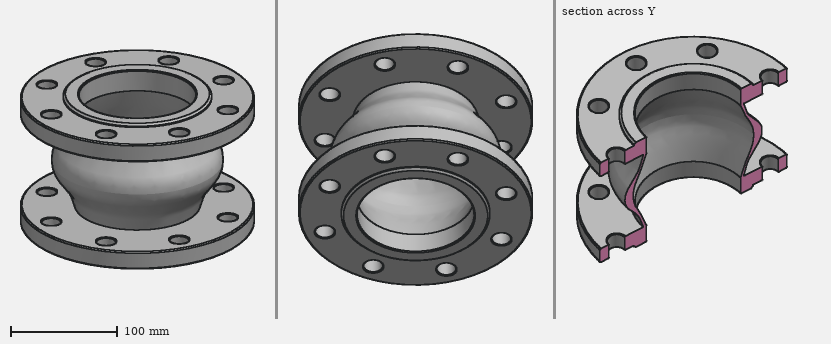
import cadquery as cq

flange_diameter = 220.0
overall_height = 135.0
bore_diameter = 110.0
bore_chamfer = 1.0

flange_thickness = 18.0
flange_chamfer = 1.3
raised_face_diameter = 140.0
raised_face_height = 3.3
raised_face_chamfer = 2.2

bolt_count = 8
bolt_circle_diameter = 180.0
bolt_hole_diameter = 18.0
bolt_hole_chamfer = 0.9

crest_outer_radius = 80.7
crest_inner_radius = 70.5
shoulder_outer_radius = 75.2
shoulder_inner_radius = 67.5
waist_outer_radius = 65.1
waist_inner_radius = 61.2
neck_outer_radius = 59.2
shoulder_height = 15.2
waist_height = 29.3

half_height = overall_height / 2
flange_top = half_height - raised_face_height
flange_bottom = flange_top - flange_thickness


def bellows_body(crest_radius, shoulder_radius, waist_radius, neck_radius):
    """Solid of revolution with a rounded crest that flows into concave flanks."""
    flank = [
        (crest_radius, 0),
        (shoulder_radius, shoulder_height),
        (waist_radius, waist_height),
        (neck_radius, flange_bottom),
    ]
    crest_direction = (0, 1)
    neck_direction = (neck_radius - waist_radius, flange_bottom - waist_height)

    upper_half = (
        cq.Workplane("XZ")
        .moveTo(0, 0)
        .lineTo(crest_radius, 0)
        .spline(flank[1:], tangents=[crest_direction, neck_direction], includeCurrent=True)
        .lineTo(0, flange_bottom)
        .close()
        .revolve(360, (0, 0, 0), (0, 1, 0))
    )
    return upper_half.union(upper_half.mirror("XY"))


def upper_flange():
    """Flange with bolt holes and a chamfered raised face, before boring."""
    disc = (
        cq.Workplane("XY")
        .workplane(offset=flange_bottom)
        .circle(flange_diameter / 2)
        .extrude(flange_thickness)
        .faces("<Z or >Z")
        .edges()
        .chamfer(flange_chamfer)
    )
    holes = (
        cq.Workplane("XY")
        .workplane(offset=flange_bottom)
        .polarArray(bolt_circle_diameter / 2, 0, 360, bolt_count)
        .circle(bolt_hole_diameter / 2)
        .extrude(flange_thickness)
    )
    raised_face = (
        cq.Workplane("XY")
        .workplane(offset=flange_top)
        .circle(raised_face_diameter / 2)
        .extrude(raised_face_height)
        .faces(">Z")
        .chamfer(raised_face_chamfer)
    )
    drilled = disc.cut(holes)
    rims = drilled.faces("<Z or >Z").edges(cq.selectors.RadiusNthSelector(0))
    return rims.chamfer(bolt_hole_chamfer).union(raised_face)


flange = upper_flange()
outer_bellows = bellows_body(
    crest_outer_radius, shoulder_outer_radius, waist_outer_radius, neck_outer_radius
)
inner_bellows = bellows_body(
    crest_inner_radius, shoulder_inner_radius, waist_inner_radius, bore_diameter / 2
)
bore = cq.Workplane("XY").circle(bore_diameter / 2).extrude(half_height, both=True)

joint = outer_bellows.union(flange).union(flange.mirror("XY")).cut(inner_bellows).cut(bore)
bore_rims = joint.faces("<Z or >Z").edges(cq.selectors.RadiusNthSelector(0))
result = bore_rims.chamfer(bore_chamfer)